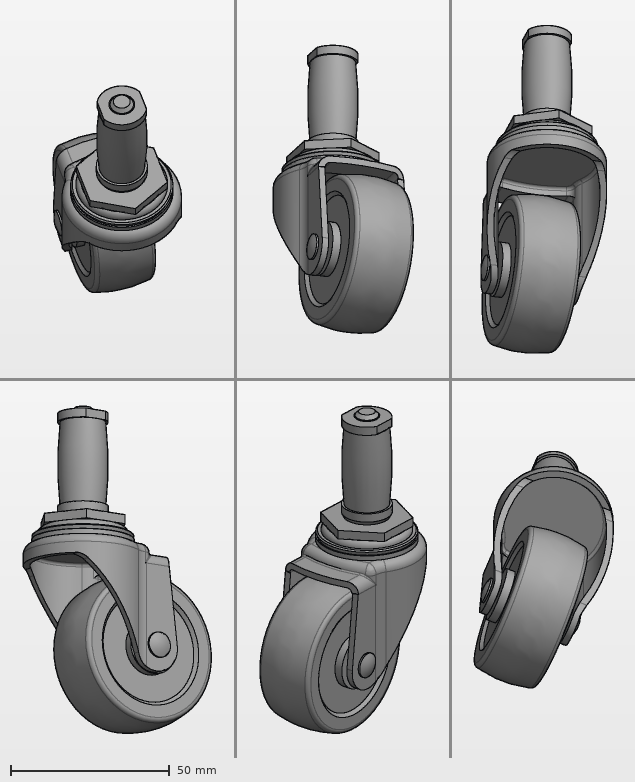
import cadquery as cq
import math


wheel_radius = 25.0
wheel_half_width = 10.0
tread_half_width = 8.8
tread_edge_radius = 24.0
rim_face_radius = 22.4
rim_edge_middle = (23.6, 9.6)
web_outer_radius = 18.5
web_depth = 1.1
hub_radius = 8.7
hub_half_width = 11.6
axle_x = -19.0
axle_z = wheel_radius

axle_radius = 3.1
head_radius = 4.1
head_rim = 0.6
head_height = 1.6

sheet = 2.1
crown_radius = 18.9
leg_half_span = 14.6
neck_radius = 7.1
crown_top = 57.6
crown_round = 3.2
plate_top = 54.7
plate_round = 3.8
plate_front_x = -25.3
plate_front_radius = 46.5
step_x = -18.7
step_corner_round = 3.1
step_foot_round = 0.6
skirt_bottom = 50.9
leg_front_top_x = -23.1
leg_end_radius = 8.2
leg_end_x = -18.0
leg_end_z = 24.6
notch_low = (-10.5, 21.4)
notch_middle = (-0.3, 37.4)
notch_high = (9.3, 49.2)
notch_round_end_x = 11.9

seat_radius = 16.2
seat_height = 1.6
groove_radius = 15.7
lip_radius = 16.1
lip_edge_z = 60.5
lip_top_z = 60.9
lip_top_radius = 15.6
shoulder_radius = 14.5
shoulder_top_radius = 13.0
shoulder_round = 2.2
hex_across_flats = 25.5
hex_bottom = 63.0
hex_top = 66.0
collar_radius = 8.1
collar_top = 70.1
collar_bevel_height = 1.2
collar_bevel_width = 0.6
barrel_end_radius = 7.2
barrel_middle_radius = 8.0
cap_bottom = 97.3
cap_top = 100.2
cap_radius = 8.0
cap_flat_half_width = 7.0
nub_neck_radius = 3.7
nub_radius = 4.1
nub_bottom = 100.6
nub_top_radius = 2.7
total_height = 102.0


def cylinder_along_y(radius, half_length):
    """Cylinder on the axle axis, centred on the middle plane."""
    return (
        cq.Workplane("XZ", origin=(axle_x, 0, axle_z))
        .circle(radius)
        .extrude(half_length, both=True)
    )


def make_wheel():
    web_half_width = wheel_half_width - web_depth
    web_inner_radius = web_outer_radius - web_depth
    profile = (
        cq.Workplane("XY")
        .moveTo(axle_radius, -hub_half_width)
        .lineTo(hub_radius, -hub_half_width)
        .lineTo(hub_radius, -web_half_width)
        .lineTo(web_inner_radius, -web_half_width)
        .lineTo(web_outer_radius, -wheel_half_width)
        .lineTo(rim_face_radius, -wheel_half_width)
        .threePointArc((rim_edge_middle[0], -rim_edge_middle[1]), (tread_edge_radius, -tread_half_width))
        .threePointArc((wheel_radius, 0), (tread_edge_radius, tread_half_width))
        .threePointArc(rim_edge_middle, (rim_face_radius, wheel_half_width))
        .lineTo(web_outer_radius, wheel_half_width)
        .lineTo(web_inner_radius, web_half_width)
        .lineTo(hub_radius, web_half_width)
        .lineTo(hub_radius, hub_half_width)
        .lineTo(axle_radius, hub_half_width)
        .close()
    )
    return profile.revolve(360, (0, 0, 0), (0, 1, 0)).translate((axle_x, 0, axle_z))


def make_axle():
    rim_y = leg_half_span + head_rim
    end_y = leg_half_span + head_height
    dome_radius = (head_radius**2 + (end_y - rim_y) ** 2) / (2 * (end_y - rim_y))
    half_angle = math.asin(head_radius / dome_radius) / 2
    dome_middle = (
        dome_radius * math.sin(half_angle),
        end_y - dome_radius * (1 - math.cos(half_angle)),
    )
    profile = (
        cq.Workplane("XY")
        .lineTo(axle_radius, 0)
        .lineTo(axle_radius, leg_half_span)
        .lineTo(head_radius, leg_half_span)
        .lineTo(head_radius, rim_y)
        .threePointArc(dome_middle, (0, end_y))
        .close()
    )
    half = profile.revolve(360, (0, 0, 0), (0, 1, 0))
    return half.union(half.mirror("XZ")).translate((axle_x, 0, axle_z))


def fork_plan(inset, height):
    """Prism of the fork's plan: round crown, concave necks and a straight front part."""
    crown = crown_radius - inset
    span = leg_half_span - inset
    neck = neck_radius + inset
    front_x = 2 * plate_front_x
    neck_y = span + neck
    neck_x = -math.sqrt((crown + neck) ** 2 - neck_y**2)
    share = crown / (crown + neck)
    touch = (neck_x * share, neck_y * share)
    middle_angle = (math.atan2(touch[1] - neck_y, touch[0] - neck_x) - math.pi / 2) / 2
    neck_middle = (
        neck_x + neck * math.cos(middle_angle),
        neck_y + neck * math.sin(middle_angle),
    )
    return (
        cq.Workplane("XY")
        .moveTo(front_x, -span)
        .lineTo(neck_x, -span)
        .threePointArc((neck_middle[0], -neck_middle[1]), (touch[0], -touch[1]))
        .threePointArc((crown, 0), touch)
        .threePointArc(neck_middle, (neck_x, span))
        .lineTo(front_x, span)
        .close()
        .extrude(height)
    )


def behind_arc(front_x):
    """Tall disc whose front edge runs parallel to the plate's curved front edge."""
    centre_x = plate_front_x + plate_front_radius
    return cq.Workplane("XY").center(centre_x, 0).circle(centre_x - front_x).extrude(total_height)


def fork_form(inset):
    """Fork form, inset from its outer faces: low front plate and raised crown over the swivel."""
    low = fork_plan(inset, plate_top - inset).faces(">Z").edges("not(<X)").fillet(plate_round - inset)
    crown = fork_plan(inset, crown_top - inset).intersect(behind_arc(step_x + inset))
    crown = crown.edges("|Z").edges("<X").fillet(step_corner_round)
    crown = crown.faces(">Z").edges().fillet(crown_round - inset)
    return low.union(crown)


def side_outline():
    """Prism of the fork's side outline: sloping legs, round ends, and a notch behind them."""
    far = 2 * plate_front_x
    dx = leg_front_top_x - leg_end_x
    dz = skirt_bottom - leg_end_z
    tangent_angle = math.atan2(dz, dx) + math.acos(leg_end_radius / math.hypot(dx, dz))
    tangent = (
        leg_end_x + leg_end_radius * math.cos(tangent_angle),
        leg_end_z + leg_end_radius * math.sin(tangent_angle),
    )
    return (
        cq.Workplane("XZ")
        .moveTo(far, crown_top)
        .lineTo(far, skirt_bottom)
        .lineTo(leg_front_top_x, skirt_bottom)
        .lineTo(*tangent)
        .threePointArc((leg_end_x, leg_end_z - leg_end_radius), notch_low)
        .threePointArc(notch_middle, notch_high)
        .tangentArcPoint((notch_round_end_x, skirt_bottom), relative=False)
        .lineTo(crown_radius, skirt_bottom)
        .lineTo(crown_radius, crown_top)
        .close()
        .extrude(crown_radius, both=True)
    )


def make_fork():
    step_foot = cq.selectors.NearestToPointSelector((step_x, 0, plate_top))
    outside = fork_form(0).edges(step_foot).fillet(step_foot_round)
    inside = fork_form(sheet)
    fork = outside.cut(inside).intersect(side_outline())
    beyond_front_edge = (
        cq.Workplane("XY", origin=(0, 0, skirt_bottom))
        .rect(4 * abs(plate_front_x), 2 * crown_radius)
        .extrude(crown_top)
        .cut(behind_arc(plate_front_x))
    )
    return fork.cut(beyond_front_edge).cut(cylinder_along_y(axle_radius, leg_half_span))


def swivel_head():
    seat_top = crown_top + seat_height
    return (
        cq.Workplane("XZ")
        .moveTo(0, crown_top)
        .lineTo(seat_radius, crown_top)
        .lineTo(seat_radius, seat_top)
        .lineTo(groove_radius, seat_top)
        .lineTo(lip_radius, lip_edge_z)
        .lineTo(lip_top_radius, lip_top_z)
        .lineTo(shoulder_radius, lip_top_z)
        .radiusArc((shoulder_top_radius, hex_bottom), -shoulder_round)
        .lineTo(0, hex_bottom)
        .close()
        .revolve(360, (0, 0, 0), (0, 1, 0))
    )


def stem_post():
    barrel_middle_z = (collar_top + cap_bottom) / 2
    return (
        cq.Workplane("XZ")
        .moveTo(0, hex_top)
        .lineTo(collar_radius - collar_bevel_width, hex_top)
        .lineTo(collar_radius, hex_top + collar_bevel_height)
        .lineTo(collar_radius, collar_top)
        .lineTo(barrel_end_radius, collar_top)
        .threePointArc((barrel_middle_radius, barrel_middle_z), (barrel_end_radius, cap_bottom))
        .lineTo(nub_neck_radius, cap_bottom)
        .lineTo(nub_neck_radius, nub_bottom)
        .lineTo(nub_radius, nub_bottom)
        .lineTo(nub_top_radius, total_height)
        .lineTo(0, total_height)
        .close()
        .revolve(360, (0, 0, 0), (0, 1, 0))
    )


def make_stem():
    hexagon = (
        cq.Workplane("XY", origin=(0, 0, hex_bottom))
        .polygon(6, hex_across_flats / math.cos(math.pi / 6))
        .extrude(hex_top - hex_bottom)
    )
    flats = cq.Workplane("XY").box(2 * cap_radius, 2 * cap_flat_half_width, 2 * total_height)
    cap = (
        cq.Workplane("XY", origin=(0, 0, cap_bottom))
        .circle(cap_radius)
        .extrude(cap_top - cap_bottom)
        .intersect(flats)
    )
    return swivel_head().union(hexagon).union(stem_post()).union(cap)


wheel = make_wheel()
axle = make_axle()
fork = make_fork()
stem = make_stem()

bodies = [wheel, axle, fork, stem]
result = cq.Compound.makeCompound([body.solids().val() for body in bodies])